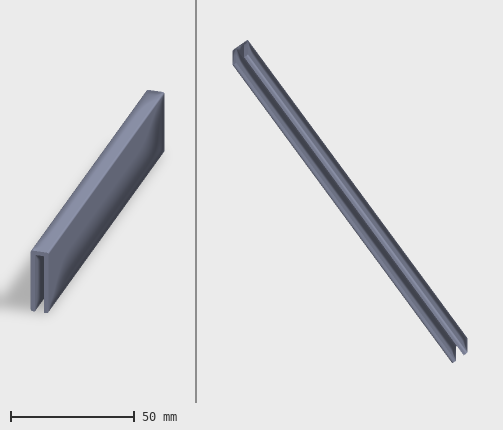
import cadquery as cq

width = 7.6
length = 152.4
height = 27.5

wall = 1.8
top_edge_radius = 0.8
foot_edge_radius = 0.9

bar = (
    cq.Workplane("XY")
    .box(width, length, height)
    .edges("|Y and >Z")
    .fillet(top_edge_radius)
    .edges("|Y and <Z")
    .fillet(foot_edge_radius)
)

slot = (
    cq.Workplane("XY")
    .box(width - 2 * wall, length, height - wall)
    .translate((0, 0, -wall / 2))
)

result = bar.cut(slot)